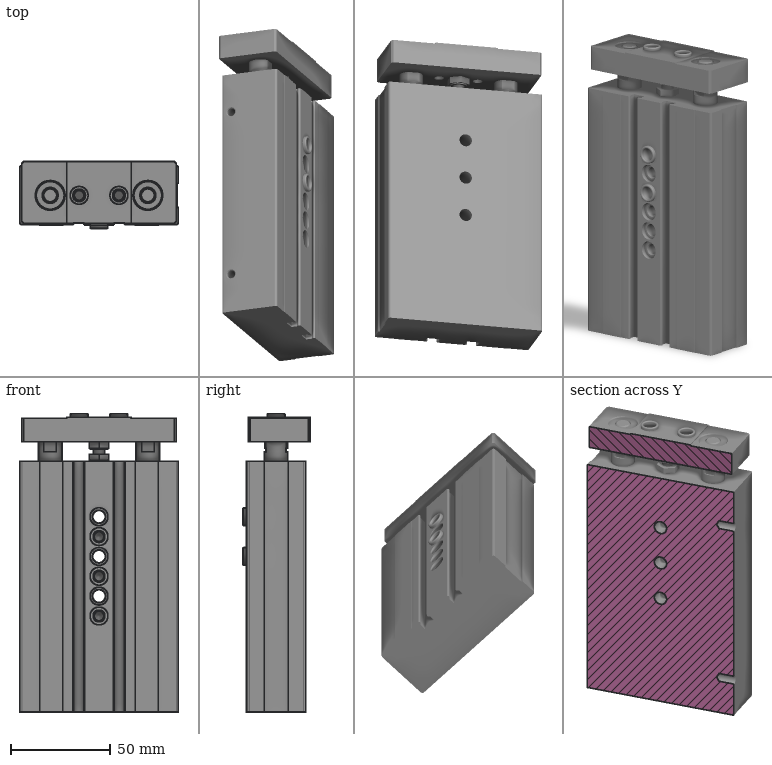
import cadquery as cq
import math

HOUSING_WIDTH = 80.0
HOUSING_HEIGHT = 126.5
BACK_Y = 15.0
FRONT_Y = -14.8
CORNER_RADIUS = 1.2
PAD_HEIGHT = 0.2
PAD_FRONT_Y = FRONT_Y - PAD_HEIGHT
OUTER_PAD_WIDTH = 11.5
OUTER_PAD_X = 24.0

SLOT_X = 10.25
SLOT_MOUTH_WIDTH = 4.9
SLOT_INNER_WIDTH = 6.8
SLOT_DEPTH = 5.0
SLOT_LIP_DEPTH = 1.0
SLOT_MOUTH_CHAMFER = 0.5
CENTRE_PAD_WIDTH = 2 * SLOT_X - SLOT_MOUTH_WIDTH - 2 * SLOT_MOUTH_CHAMFER

SIDE_RECESS_WIDTH = 12.0
SIDE_RECESS_DEPTH = 0.6

MOUNT_HOLE_COUNT = 6
MOUNT_HOLE_PITCH = 10.0
TOP_MOUNT_HOLE_Z = 98.5
THROUGH_DIAMETER = 6.4
M6_CORE_DIAMETER = 4.92
M6_DIAMETER = 6.0
M6_CHAMFER = (M6_DIAMETER - M6_CORE_DIAMETER) / 2
M6_DEPTH = 12.0
DRILL_POINT_ANGLE = 118.0

SLEEVE_DIAMETER = 9.0
SLEEVE_BORE = 6.4
SLEEVE_LENGTH = 4.0
SLEEVE_PROTRUSION = 1.7
SLEEVE_SEAT_DEPTH = SLEEVE_LENGTH - SLEEVE_PROTRUSION
HOUSING_SLEEVE_COUNT = 2

PORT_Y = 10.0
PORT_HEIGHTS = (20.0, 106.5)
PORT_DIAMETER = 5.0
PORT_CORE_DIAMETER = 4.13
PORT_CHAMFER = (PORT_DIAMETER - PORT_CORE_DIAMETER) / 2
PORT_DEPTH = 8.0

PLATE_WIDTH = 78.0
PLATE_FRONT_Y = -14.0
PLATE_BACK_Y = 17.1
PLATE_DEPTH = PLATE_BACK_Y - PLATE_FRONT_Y
PLATE_THICKNESS = 12.0
PLATE_GAP = 9.7
PLATE_BOTTOM_Z = HOUSING_HEIGHT + PLATE_GAP
PLATE_SIDE_Z = PLATE_BOTTOM_Z + PLATE_THICKNESS
PLATE_CHAMFER = 1.0
RAISED_WIDTH = 32.5
RAISED_HEIGHT = 0.5
PLATE_TOP_Z = PLATE_SIDE_Z + RAISED_HEIGHT
PLATE_SLEEVE_X = 10.0

ROD_X = 24.6
ROD_DIAMETER = 12.0
ROD_FLAT_SPACING = 10.2
ROD_FLAT_HEIGHT = 5.0
ROD_INSERTION = 50.0
ROD_END_DIAMETER = 8.0
ROD_END_CHAMFER = 0.75
ROD_RECESS_DIAMETER = 15.0
ROD_RECESS_FLOOR_DIAMETER = 14.0
ROD_RECESS_DEPTH = (ROD_RECESS_DIAMETER - ROD_RECESS_FLOOR_DIAMETER) / 2

PISTON_ROD_DIAMETER = 6.0
HEX_ACROSS_FLATS = 10.0
HEX_HALF_CORNER_ANGLE = 30.0
HEX_ACROSS_CORNERS = HEX_ACROSS_FLATS / math.cos(math.radians(HEX_HALF_CORNER_ANGLE))
NUT_HEIGHT = 3.7
WASHER_FACE_DIAMETER = 8.88
WASHER_FACE_HEIGHT = 0.5
LOWER_HEX_HEIGHT = 3.5
PISTON_ROD_INSERTION = 10.0


def cylinder(start, direction, diameter, length):
    return cq.Workplane(cq.Solid.makeCylinder(diameter / 2, length, cq.Vector(*start), cq.Vector(*direction)))


def cone(start, direction, start_diameter, end_diameter, length):
    axis = cq.Vector(*direction)
    return cq.Workplane(
        cq.Solid.makeCone(start_diameter / 2, end_diameter / 2, length, cq.Vector(*start), axis)
    )


def along(start, direction, distance):
    return tuple(s + distance * d for s, d in zip(start, direction))


def threaded_hole(start, direction, core_diameter, chamfer, depth):
    """Blind drilled hole with a chamfered mouth and a conical bottom."""
    point_length = core_diameter / 2 / math.tan(math.radians(DRILL_POINT_ANGLE / 2))
    mouth = cone(start, direction, core_diameter + 2 * chamfer, core_diameter, chamfer)
    point = cone(along(start, direction, depth), direction, core_diameter, 0, point_length)
    return cylinder(start, direction, core_diameter, depth).union(mouth).union(point)


def sensor_slot(x):
    mouth = SLOT_MOUTH_WIDTH / 2
    flared = mouth + SLOT_MOUTH_CHAMFER
    inner = SLOT_INNER_WIDTH / 2
    lip_y = FRONT_Y + SLOT_LIP_DEPTH
    shoulder_y = lip_y + inner - mouth
    half = [
        (flared, PAD_FRONT_Y),
        (flared, FRONT_Y),
        (mouth, FRONT_Y + SLOT_MOUTH_CHAMFER),
        (mouth, lip_y),
        (inner, shoulder_y),
        (inner, FRONT_Y + SLOT_DEPTH),
    ]
    outline = half + [(-px, py) for px, py in reversed(half)]
    return cq.Workplane().polyline(outline).close().extrude(HOUSING_HEIGHT).translate((x, 0, 0))


def make_housing():
    housing = (
        cq.Workplane()
        .box(HOUSING_WIDTH, BACK_Y - FRONT_Y, HOUSING_HEIGHT, centered=(True, True, False))
        .translate((0, (BACK_Y + FRONT_Y) / 2, 0))
        .edges("|Z")
        .fillet(CORNER_RADIUS)
    )
    pads = ((-OUTER_PAD_X, OUTER_PAD_WIDTH), (0, CENTRE_PAD_WIDTH), (OUTER_PAD_X, OUTER_PAD_WIDTH))
    for x, width in pads:
        pad = cq.Workplane().box(width, PAD_HEIGHT, HOUSING_HEIGHT, centered=(True, False, False))
        housing = housing.union(pad.translate((x, PAD_FRONT_Y, 0)))
    for x in (-SLOT_X, SLOT_X):
        housing = housing.cut(sensor_slot(x))

    recess = cq.Workplane().box(
        2 * SIDE_RECESS_DEPTH, SIDE_RECESS_WIDTH, HOUSING_HEIGHT, centered=(True, True, False)
    )
    housing = housing.cut(recess.translate((HOUSING_WIDTH / 2, 0, 0)))

    inward = (0, 1, 0)
    for i in range(MOUNT_HOLE_COUNT):
        mouth = (0, PAD_FRONT_Y, TOP_MOUNT_HOLE_Z - i * MOUNT_HOLE_PITCH)
        housing = housing.cut(cylinder(mouth, inward, SLEEVE_DIAMETER, SLEEVE_SEAT_DEPTH))
        if i % 2 == 0:
            housing = housing.cut(cylinder(mouth, inward, THROUGH_DIAMETER, BACK_Y - PAD_FRONT_Y))
        else:
            seat = along(mouth, inward, SLEEVE_SEAT_DEPTH)
            housing = housing.cut(threaded_hole(seat, inward, M6_CORE_DIAMETER, M6_CHAMFER, M6_DEPTH))

    for z in PORT_HEIGHTS:
        mouth = (-HOUSING_WIDTH / 2, PORT_Y, z)
        housing = housing.cut(threaded_hole(mouth, (1, 0, 0), PORT_CORE_DIAMETER, PORT_CHAMFER, PORT_DEPTH))

    for x in (-ROD_X, ROD_X):
        rod_bottom = (x, 0, HOUSING_HEIGHT - ROD_INSERTION)
        housing = housing.cut(cylinder(rod_bottom, (0, 0, 1), ROD_DIAMETER, ROD_INSERTION))
    piston_bottom = (0, 0, HOUSING_HEIGHT - PISTON_ROD_INSERTION)
    return housing.cut(cylinder(piston_bottom, (0, 0, 1), WASHER_FACE_DIAMETER, PISTON_ROD_INSERTION))


def hexagon(bottom_z, height):
    """Hexagon on the Z axis, corners facing +Y and -Y, standing on a round washer face."""
    prism = cq.Workplane().polygon(6, HEX_ACROSS_CORNERS).extrude(height - WASHER_FACE_HEIGHT)
    prism = prism.rotate((0, 0, 0), (0, 0, 1), HEX_HALF_CORNER_ANGLE)
    prism = prism.translate((0, 0, bottom_z + WASHER_FACE_HEIGHT))
    return prism.union(cylinder((0, 0, bottom_z), (0, 0, 1), WASHER_FACE_DIAMETER, height))


def make_yoke():
    """Yoke plate carrying the piston rod."""
    centre_y = (PLATE_FRONT_Y + PLATE_BACK_Y) / 2
    plate = cq.Workplane().box(
        PLATE_WIDTH, PLATE_DEPTH, PLATE_THICKNESS, centered=(True, True, False)
    ).edges("|Z").chamfer(PLATE_CHAMFER)
    raised = cq.Workplane().box(
        RAISED_WIDTH, PLATE_DEPTH, RAISED_HEIGHT, centered=(True, True, False)
    ).translate((0, 0, PLATE_THICKNESS))
    yoke = plate.union(raised).translate((0, centre_y, PLATE_BOTTOM_Z))

    down = (0, 0, -1)
    for x in (-PLATE_SLEEVE_X, PLATE_SLEEVE_X):
        mouth = (x, 0, PLATE_TOP_Z)
        yoke = yoke.cut(cylinder(mouth, down, SLEEVE_DIAMETER, SLEEVE_SEAT_DEPTH))
        seat = along(mouth, down, SLEEVE_SEAT_DEPTH)
        yoke = yoke.cut(cone(seat, down, M6_DIAMETER, M6_CORE_DIAMETER, M6_CHAMFER))
        yoke = yoke.cut(cylinder(seat, down, M6_CORE_DIAMETER, PLATE_TOP_Z - PLATE_BOTTOM_Z))
    for x in (-ROD_X, ROD_X):
        mouth = (x, 0, PLATE_SIDE_Z)
        yoke = yoke.cut(cone(mouth, down, ROD_RECESS_DIAMETER, ROD_RECESS_FLOOR_DIAMETER, ROD_RECESS_DEPTH))
        yoke = yoke.cut(cylinder(mouth, down, ROD_END_DIAMETER, PLATE_THICKNESS))

    nut_bottom_z = PLATE_BOTTOM_Z - NUT_HEIGHT
    yoke = yoke.union(hexagon(nut_bottom_z, NUT_HEIGHT))
    yoke = yoke.union(cylinder((0, 0, nut_bottom_z), down, PISTON_ROD_DIAMETER, PLATE_GAP - NUT_HEIGHT))
    yoke = yoke.union(hexagon(HOUSING_HEIGHT, LOWER_HEX_HEIGHT))
    return yoke.union(cylinder((0, 0, HOUSING_HEIGHT), down, WASHER_FACE_DIAMETER, PISTON_ROD_INSERTION))


def make_guide_rod(x):
    bottom_z = HOUSING_HEIGHT - ROD_INSERTION
    rod = cylinder((0, 0, bottom_z), (0, 0, 1), ROD_DIAMETER, PLATE_BOTTOM_Z - bottom_z)
    flat_depth = (ROD_DIAMETER - ROD_FLAT_SPACING) / 2
    for side in (-1, 1):
        flat = cq.Workplane().box(ROD_DIAMETER, flat_depth, ROD_FLAT_HEIGHT, centered=(True, True, False))
        flat_y = side * (ROD_DIAMETER - flat_depth) / 2
        rod = rod.cut(flat.translate((0, flat_y, PLATE_BOTTOM_Z - ROD_FLAT_HEIGHT)))
    end = cylinder((0, 0, PLATE_BOTTOM_Z), (0, 0, 1), ROD_END_DIAMETER, PLATE_THICKNESS)
    end = end.faces(">Z").chamfer(ROD_END_CHAMFER)
    return rod.union(end).translate((x, 0, 0))


def make_sleeve():
    """Centring sleeve standing on the origin, its upper rim fully rounded."""
    inner = SLEEVE_BORE / 2
    outer = SLEEVE_DIAMETER / 2
    rim_radius = (outer - inner) / 2
    rim_start = SLEEVE_LENGTH - rim_radius
    section = (
        cq.Workplane("XZ")
        .moveTo(inner, 0)
        .lineTo(outer, 0)
        .lineTo(outer, rim_start)
        .threePointArc((inner + rim_radius, SLEEVE_LENGTH), (inner, rim_start))
        .close()
    )
    return section.revolve(360, (0, 0, 0), (0, 1, 0))


housing = make_housing()
yoke = make_yoke()
guide_rods = [make_guide_rod(x) for x in (-ROD_X, ROD_X)]

plate_sleeves = [
    make_sleeve().translate((x, 0, PLATE_TOP_Z - SLEEVE_SEAT_DEPTH))
    for x in (-PLATE_SLEEVE_X, PLATE_SLEEVE_X)
]
housing_sleeves = []
for i in range(HOUSING_SLEEVE_COUNT):
    sleeve_z = TOP_MOUNT_HOLE_Z - 2 * i * MOUNT_HOLE_PITCH
    facing_front = make_sleeve().rotate((0, 0, 0), (1, 0, 0), 90)
    housing_sleeves.append(facing_front.translate((0, PAD_FRONT_Y + SLEEVE_SEAT_DEPTH, sleeve_z)))

bodies = [housing, yoke] + guide_rods + plate_sleeves + housing_sleeves
result = cq.Compound.makeCompound([body.val() for body in bodies])